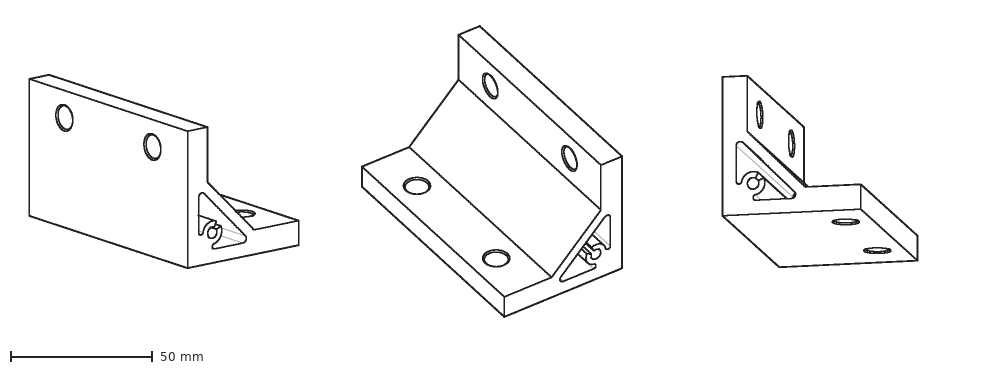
import cadquery as cq
import math

length = 90.0
leg = 50.0
leg_thickness = 9.0

brace_reach = 30.0
brace_thickness = 3.9
cavity_wall = 5.0
tip_radius = 1.4

boss_center = 11.2
boss_radius = 4.2
bore_radius = 2.1
slot_angle = 40.0
groove_radius = 1.0

hole_diameter = 8.5
hole_chamfer = 0.5
hole_edge_distance = 10.0
first_hole_x = 20.0
hole_spacing = 50.0


def polar(center, radius, degrees):
    angle = math.radians(degrees)
    return (center[0] + radius * math.cos(angle), center[1] + radius * math.sin(angle))


def mirrored(point):
    """Swap the two coordinates: mirror across the 45 degree symmetry plane."""
    return (point[1], point[0])


def make_body():
    outline = [
        (0, 0),
        (leg, 0),
        (leg, leg_thickness),
        (brace_reach, leg_thickness),
        (leg_thickness, brace_reach),
        (leg_thickness, leg),
        (0, leg),
    ]
    return cq.Workplane("YZ").polyline(outline).close().extrude(length)


def make_triangle():
    """Cavity prism with its two acute edges rounded."""
    diagonal_sum = leg_thickness + brace_reach - brace_thickness * math.sqrt(2)
    tip = diagonal_sum - cavity_wall
    corners = [(cavity_wall, cavity_wall), (tip, cavity_wall), (cavity_wall, tip)]
    triangle = cq.Workplane("YZ").polyline(corners).close().extrude(length)
    return triangle.edges("|X").edges(">Y or >Z").fillet(tip_radius)


def make_core():
    """Solid corner carrying the split boss, which stays inside the cavity."""
    center = (boss_center, boss_center)
    groove_y = cavity_wall + groove_radius
    rise = math.sqrt((boss_radius + groove_radius) ** 2 - (boss_center - groove_y) ** 2)
    groove = (groove_y, boss_center + rise)
    boss_angle = math.degrees(math.atan2(rise, groove_y - boss_center))
    lip_angle = 45 + slot_angle / 2

    wall_point = (cavity_wall, groove[1])
    groove_bottom = polar(groove, groove_radius, 180 + boss_angle / 2)
    tangent_point = polar(center, boss_radius, boss_angle)
    boss_middle = polar(center, boss_radius, (boss_angle + lip_angle) / 2)
    lip_outer = polar(center, boss_radius, lip_angle)
    lip_inner = polar(center, bore_radius, lip_angle)
    bore_bottom = polar(center, bore_radius, 225)

    return (
        cq.Workplane("YZ")
        .moveTo(0, 0)
        .lineTo(0, groove[1])
        .lineTo(*wall_point)
        .threePointArc(groove_bottom, tangent_point)
        .threePointArc(boss_middle, lip_outer)
        .lineTo(*lip_inner)
        .threePointArc(bore_bottom, mirrored(lip_inner))
        .lineTo(*mirrored(lip_outer))
        .threePointArc(mirrored(boss_middle), mirrored(tangent_point))
        .threePointArc(mirrored(groove_bottom), mirrored(wall_point))
        .lineTo(groove[1], 0)
        .close()
        .extrude(length)
    )


def make_hole_cutter(x):
    """Hole through the horizontal leg, chamfered at both ends."""
    radius = hole_diameter / 2
    mouth = radius + hole_chamfer
    profile = [
        (0, 0),
        (mouth, 0),
        (radius, hole_chamfer),
        (radius, leg_thickness - hole_chamfer),
        (mouth, leg_thickness),
        (0, leg_thickness),
    ]
    cutter = cq.Workplane("XZ").polyline(profile).close().revolve(360, (0, 0), (0, 1))
    return cutter.translate((x, leg - hole_edge_distance, 0))


result = make_body().cut(make_triangle().cut(make_core()))

for hole_x in (first_hole_x, first_hole_x + hole_spacing):
    horizontal_hole = make_hole_cutter(hole_x)
    vertical_hole = horizontal_hole.rotate((0, 0, 0), (1, 0, 0), 90).mirror("XZ")
    result = result.cut(horizontal_hole).cut(vertical_hole)